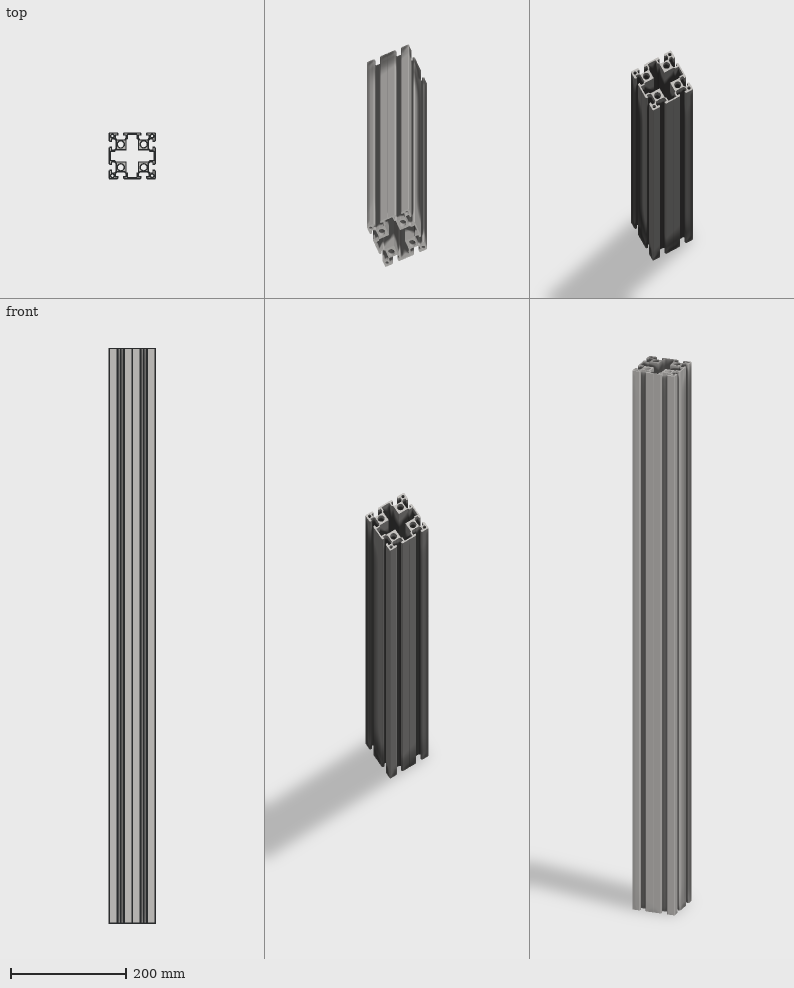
import cadquery as cq

side = 80.0
length = 1000.0
edge_radius = 1.5
half_side = side / 2

slot_offset = side / 4
mouth_width = 10.0
mouth_chamfer = 1.5
lip_thickness = 4.0
undercut_width = 19.0
undercut_wall_end = 9.0
floor_width = 14.0
slot_depth = 12.0

groove_width = 1.0
groove_depth = 1.0

bore_diameter = 12.0

arm_width = 21.0
neck_width = 16.0
outer_wall = 2.5
shoulder_depth = 11.0
shoulder_height = 1.5

corner_bore_diameter = 6.0
corner_wall = 2.5


def symmetric_prism(right_half):
    """Full-length bar whose section is the given right half and its mirror image about the Y axis."""
    left_half = [(-x, y) for x, y in reversed(right_half) if x > 0]
    return cq.Workplane("XY").polyline(right_half + left_half).close().extrude(length)


def t_slot(center_x):
    """T-slot with a chamfered mouth, tapered undercut and grooved floor, in the +Y face."""
    mouth = mouth_width / 2
    undercut = undercut_width / 2
    floor_y = half_side - slot_depth
    right_half = [
        (0, floor_y - groove_depth),
        (groove_width / 2, floor_y),
        (floor_width / 2, floor_y),
        (undercut, half_side - undercut_wall_end),
        (undercut, half_side - lip_thickness),
        (mouth, half_side - lip_thickness),
        (mouth, half_side - mouth_chamfer),
        (mouth + mouth_chamfer, half_side),
    ]
    return symmetric_prism(right_half).translate((center_x, 0, 0))


def face_groove():
    """V-groove along the middle of the +Y face."""
    return symmetric_prism([(0, half_side - groove_depth), (groove_width / 2, half_side)])


def cavity_arm():
    """Arm of the central cavity that reaches toward the +Y face."""
    shoulder_y = half_side - shoulder_depth
    right_half = [
        (arm_width / 2, 0),
        (arm_width / 2, shoulder_y),
        (neck_width / 2, shoulder_y + shoulder_height),
        (neck_width / 2, half_side - outer_wall),
    ]
    return symmetric_prism(right_half)


def diagonal_bore(offset, diameter):
    """Full-length round bore on the diagonal of the +X +Y quarter."""
    return cq.Workplane("XY").center(offset, offset).circle(diameter / 2).extrude(length)


body = cq.Workplane("XY").rect(side, side).extrude(length).edges("|Z").fillet(edge_radius)

corner_bore_offset = half_side - corner_wall - corner_bore_diameter / 2
quarter_features = [
    t_slot(-slot_offset),
    t_slot(slot_offset),
    face_groove(),
    cavity_arm(),
    diagonal_bore(slot_offset, bore_diameter),
    diagonal_bore(corner_bore_offset, corner_bore_diameter),
]

for quarter in range(4):
    for feature in quarter_features:
        body = body.cut(feature.rotate((0, 0, 0), (0, 0, 1), 90 * quarter))

result = body